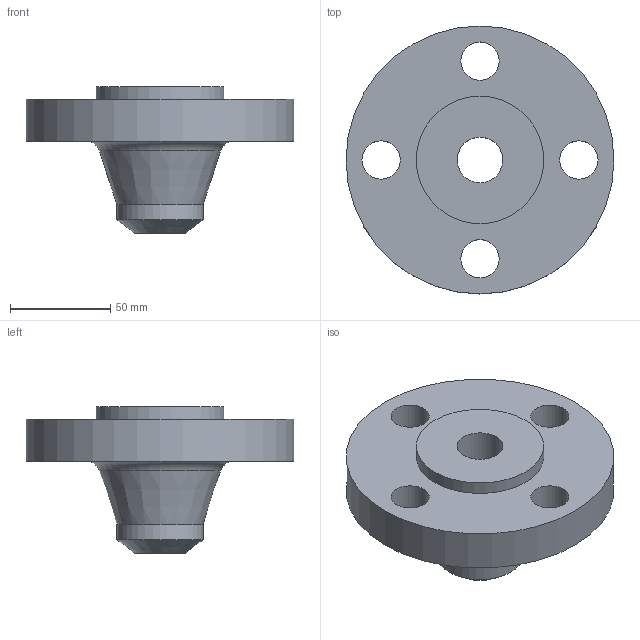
import cadquery as cq
import math

flange_diameter = 133.35
flange_thickness = 20.83

face_diameter = 63.5
face_height = 6.35

total_height = 73.03
hub_diameter = 63.5
pipe_diameter = 42.93
pipe_length = 14.3
bevel_angle = 37.5
land_width = 1.2
hub_fillet_radius = 7.0

bore_diameter = 22.76
bolt_hole_diameter = 19.05
bolt_circle_diameter = 98.43
bolt_count = 4

flange_top = total_height - face_height
flange_bottom = flange_top - flange_thickness

land_radius = bore_diameter / 2 + land_width
bevel_height = (pipe_diameter / 2 - land_radius) * math.tan(math.radians(bevel_angle))


def make_flange():
    """Bolting disc with the raised face on top."""
    disc = (
        cq.Workplane("XY")
        .workplane(offset=flange_bottom)
        .circle(flange_diameter / 2)
        .extrude(flange_thickness)
    )
    return disc.faces(">Z").workplane().circle(face_diameter / 2).extrude(face_height)


def make_neck():
    """Revolved neck: land, bevel, straight pipe end and tapered hub."""
    return (
        cq.Workplane("XZ")
        .lineTo(land_radius, 0)
        .lineTo(pipe_diameter / 2, bevel_height)
        .lineTo(pipe_diameter / 2, pipe_length)
        .lineTo(hub_diameter / 2, flange_bottom)
        .lineTo(0, flange_bottom)
        .close()
        .revolve(360, (0, 0, 0), (0, 1, 0))
    )


def fillet_hub(body):
    """Round the inside corner where the hub meets the underside of the disc."""
    search_margin = 1.0
    corner_slab = cq.selectors.BoxSelector(
        (-hub_diameter, -hub_diameter, flange_bottom - search_margin),
        (hub_diameter, hub_diameter, flange_bottom + search_margin),
    )
    return body.edges(corner_slab).edges(cq.selectors.RadiusNthSelector(0)).fillet(hub_fillet_radius)


def drill_holes(body):
    """Cut the central bore and the ring of bolt holes, all straight through."""
    bore = cq.Workplane("XY").circle(bore_diameter / 2).extrude(total_height)
    bolt_holes = (
        cq.Workplane("XY")
        .polarArray(bolt_circle_diameter / 2, 0, 360, bolt_count)
        .circle(bolt_hole_diameter / 2)
        .extrude(total_height)
    )
    return body.cut(bore).cut(bolt_holes)


result = drill_holes(fillet_hub(make_flange().union(make_neck())))